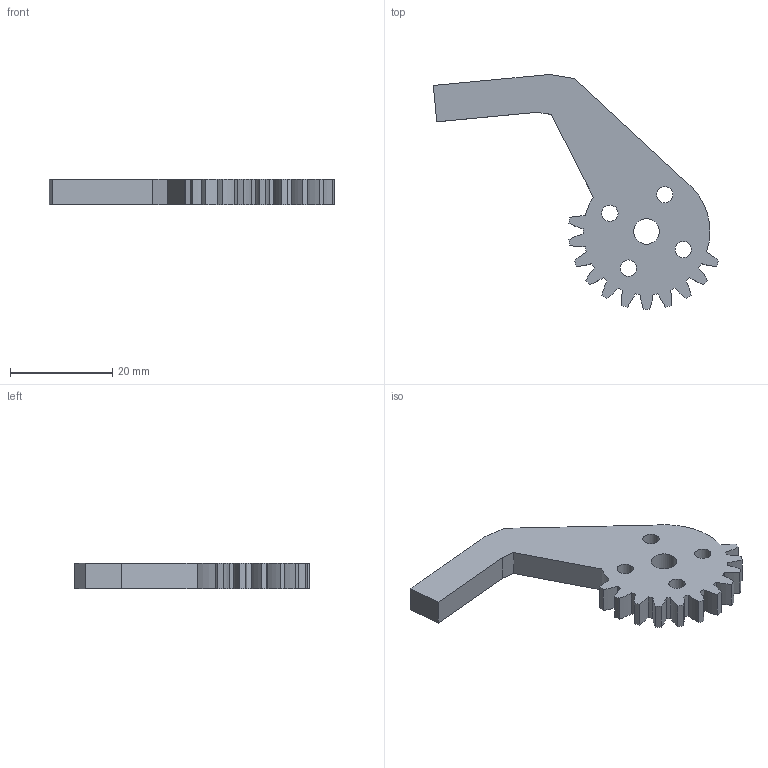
import cadquery as cq
import math

thickness = 5.0

tooth_count = 22
module = 25.4 / 20
pitch_radius = tooth_count * module / 2
tip_radius = pitch_radius + module
root_radius = pitch_radius - 1.25 * module
tooth_pitch_angle = 360 / tooth_count

half_width_root = 1.29
half_width_pitch = 0.98
half_width_tip = 0.57

first_tooth = -6
last_tooth = 4

bore_diameter = 5.0
screw_hole_diameter = 3.2
screw_circle_radius = 8.0
screw_hole_count = 4
screw_hole_angle = 63.6

bar_angle = 5.4
bar_width = 7.13
bar_outer_length = 22.75
bar_inner_length = 19.65
bar_end_corner = (-41.64, 28.5)
outer_bend_end = (-14.06, 29.85)
inner_bend_end = (-18.63, 22.85)
outer_root_angle = 53.0
inner_root_angle = 147.2


def polar(radius, angle):
    """Point at a radius and an angle in degrees around the gear axis."""
    return radius * math.cos(math.radians(angle)), radius * math.sin(math.radians(angle))


def offset(point, distance, angle):
    """Point moved by a distance in a direction given in degrees."""
    step_x, step_y = polar(distance, angle)
    return point[0] + step_x, point[1] + step_y


def flank_point(radius, half_width):
    """Point on the upper flank of a tooth that points along +X."""
    return math.sqrt(radius**2 - half_width**2), half_width


def mirrored(point):
    """Point reflected across the tooth centre line."""
    return point[0], -point[1]


def make_tooth(angle):
    """One tooth with gently convex flanks, rooted inside the gear body."""
    root = flank_point(root_radius, half_width_root)
    middle = flank_point(pitch_radius, half_width_pitch)
    tip = flank_point(tip_radius, half_width_tip)
    tooth = (
        cq.Workplane("XY")
        .moveTo(0, 0)
        .lineTo(*mirrored(root))
        .threePointArc(mirrored(middle), mirrored(tip))
        .threePointArc((tip_radius, 0), tip)
        .threePointArc(middle, root)
        .close()
        .extrude(thickness)
    )
    return tooth.rotate((0, 0, 0), (0, 0, 1), angle)


def make_arm():
    """Bent arm whose two long edges end on the root circle."""
    end_inner_corner = offset(bar_end_corner, bar_width, bar_angle - 90)
    outline = [
        (0, 0),
        polar(root_radius, outer_root_angle),
        outer_bend_end,
        offset(bar_end_corner, bar_outer_length, bar_angle),
        bar_end_corner,
        end_inner_corner,
        offset(end_inner_corner, bar_inner_length, bar_angle),
        inner_bend_end,
        polar(root_radius, inner_root_angle),
    ]
    return cq.Workplane("XY").polyline(outline).close().extrude(thickness)


def make_holes():
    """Cutters for the central bore and the ring of screw holes."""
    bore = cq.Workplane("XY").circle(bore_diameter / 2).extrude(thickness)
    hole_step = 360 / screw_hole_count
    centres = [polar(screw_circle_radius, screw_hole_angle + i * hole_step) for i in range(screw_hole_count)]
    screw_holes = cq.Workplane("XY").pushPoints(centres).circle(screw_hole_diameter / 2).extrude(thickness)
    return bore.union(screw_holes)


body = cq.Workplane("XY").circle(root_radius).extrude(thickness).union(make_arm())
for tooth_index in range(first_tooth, last_tooth + 1):
    body = body.union(make_tooth(-90 + tooth_index * tooth_pitch_angle))

result = body.cut(make_holes())